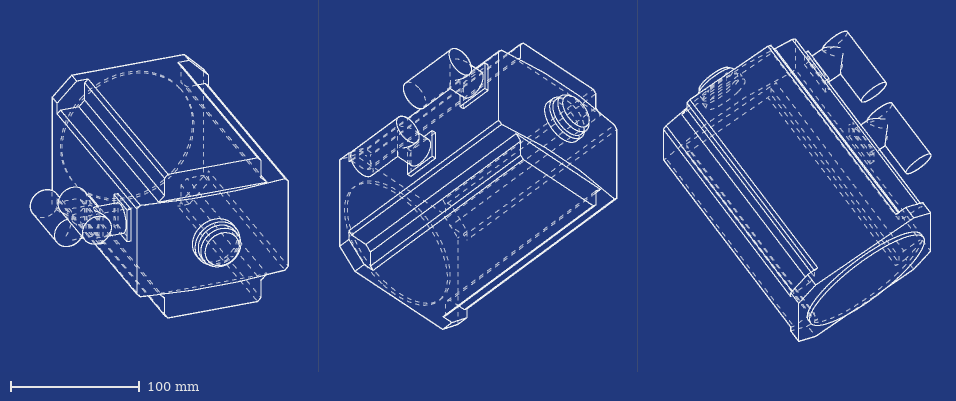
import cadquery as cq

PILOT_LENGTH = 3.0
FLANGE_END = 13.6
WING_END = 183.5
SIDE_END = 183.0
CAP_END = 187.8
COLLAR_END = 193.5
NECK_START = 195.0
TIP_CHAMFER_START = 200.7
OVERALL_LENGTH = 203.5

WIDTH = 126.5
HALF_WIDTH = WIDTH / 2
FLANGE_CHAMFER = 16.3
PILOT_RADIUS = 55.1

ARM_HALF_WIDTH = 40.3
ARM_CHAMFER = 2.8
INNER_CORNER_CHAMFER = 4.9

COLLAR_RADIUS = 18.7
NECK_RADIUS = 16.7
TIP_RADIUS = 14.2

CONNECTOR_CENTERS = [(97.5, -14.2), (157.0, 17.3)]
PAD_SIZE = 27.9
PAD_THICKNESS = 3.5
PLUG_DIAMETER = 24.2
PLUG_RADIUS = PLUG_DIAMETER / 2
PLUG_LENGTH = 51.9
CONNECTOR_REACH = 39.9


def x_prism(width, height, start, end):
    """Centred rectangular bar running along X."""
    return cq.Workplane("YZ").workplane(offset=start).rect(width, height).extrude(end - start)


def make_flange():
    flange = x_prism(WIDTH, WIDTH, PILOT_LENGTH, FLANGE_END).edges("|X").chamfer(FLANGE_CHAMFER)
    pilot = cq.Workplane("YZ").circle(PILOT_RADIUS).extrude(PILOT_LENGTH)
    return flange.union(pilot)


def make_housing():
    arm_width = 2 * ARM_HALF_WIDTH
    upright = x_prism(arm_width, WIDTH, FLANGE_END, WING_END).edges("|X").chamfer(ARM_CHAMFER)
    sideways = x_prism(WIDTH, arm_width, FLANGE_END, CAP_END).edges("|X").chamfer(ARM_CHAMFER)
    tapered_outline = (
        cq.Workplane("XY")
        .moveTo(FLANGE_END, -HALF_WIDTH)
        .lineTo(SIDE_END, -HALF_WIDTH)
        .lineTo(CAP_END, -COLLAR_RADIUS)
        .lineTo(CAP_END, COLLAR_RADIUS)
        .lineTo(SIDE_END, HALF_WIDTH)
        .lineTo(FLANGE_END, HALF_WIDTH)
        .close()
        .extrude(ARM_HALF_WIDTH, both=True)
    )
    core_width = 2 * (ARM_HALF_WIDTH + INNER_CORNER_CHAMFER)
    core = x_prism(core_width, core_width, FLANGE_END, WING_END)
    core = core.edges("|X").chamfer(INNER_CORNER_CHAMFER)
    return upright.union(sideways.intersect(tapered_outline)).union(core)


def make_rear_boss():
    return (
        cq.Workplane("XY")
        .moveTo(WING_END, 0)
        .lineTo(WING_END, COLLAR_RADIUS)
        .lineTo(COLLAR_END, COLLAR_RADIUS)
        .lineTo(NECK_START, NECK_RADIUS)
        .lineTo(TIP_CHAMFER_START, NECK_RADIUS)
        .lineTo(OVERALL_LENGTH, TIP_RADIUS)
        .lineTo(OVERALL_LENGTH, 0)
        .close()
        .revolve(360, (0, 0, 0), (1, 0, 0))
    )


def make_connector(x, z):
    axis_distance = CONNECTOR_REACH - PLUG_RADIUS
    face = cq.Workplane("XZ", origin=(x, -HALF_WIDTH, z))
    pad = face.rect(PAD_SIZE, PAD_SIZE).extrude(PAD_THICKNESS)
    stem = face.circle(PLUG_RADIUS).extrude(axis_distance)
    plug_start = (x + PLUG_RADIUS - PLUG_LENGTH, -HALF_WIDTH - axis_distance, z)
    plug = cq.Workplane("YZ", origin=plug_start).circle(PLUG_RADIUS).extrude(PLUG_LENGTH)
    return pad.union(stem).union(plug)


result = make_flange().union(make_housing()).union(make_rear_boss())
for center_x, center_z in CONNECTOR_CENTERS:
    result = result.union(make_connector(center_x, center_z))